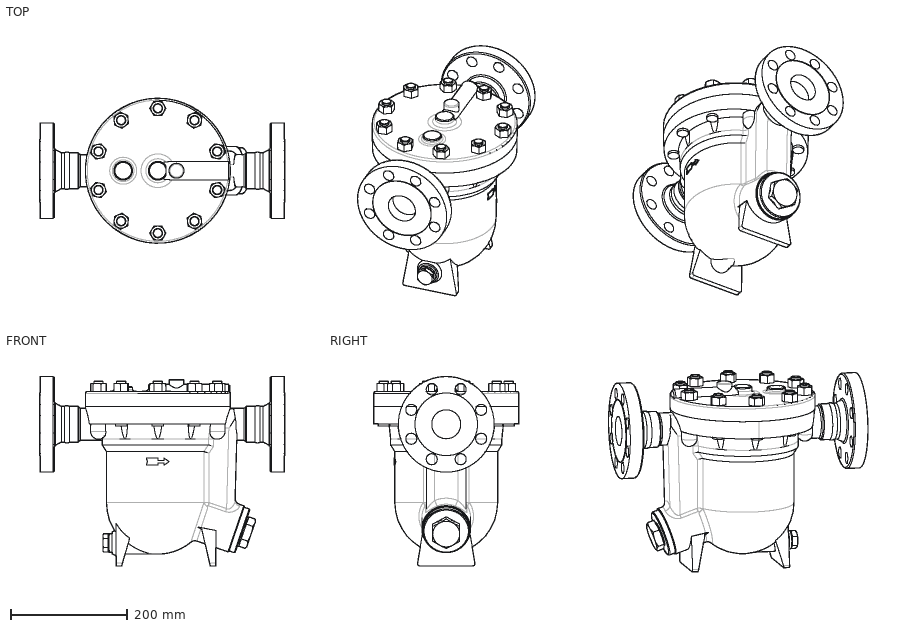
import cadquery as cq
import math


length = 423.0
inlet_face_x = -204.0
outlet_face_x = inlet_face_x + length
base_z = -244.0

flange_dia = 165.0
flange_thickness = 24.5
flange_edge_chamfer = 2.0
raised_face_dia = 108.0
raised_face_height = 1.3
flange_hole_dia = 19.0
flange_hole_circle = 130.3
flange_hole_count = 8
bore_dia = 50.0
bore_depth = 22.0
hub_root_dia = 78.0
hub_dia = 72.8
hub_root_length = 2.0
hub_length = 12.0
stub_dia = 62.0
stub_end_chamfer = 1.5
weld_bead_height = 1.3
weld_bead_start = 43.0
weld_bead_end = 51.5
joint_depth = 68.0

spout_dia = 56.0
spout_lip_dia = 58.5
spout_lip_length = 3.0
seam_z = 31.0
rim_dia = 250.0
rim_bottom_z = 1.0
rim_bottom_length = 242.0
collar_top_dia = 198.0
collar_dia = 192.0
collar_taper_end_z = -25.0
collar_end_z = -35.5
shell_top_z = -47.0
shell_dia = 177.5
dome_center_z = -135.0

cover_top_z = 56.5
cover_edge_radius = 3.5
bolt_circle_dia = 215.0
bolt_count = 10
bolt_pitch = 360.0 / bolt_count
first_bolt_angle = 18.0
nut_flats = 24.0
nut_top_z = 70.5
stud_dia = 16.0
stud_top_z = 74.5
stud_chamfer = 1.0
stud_foot_dia = 19.5
stud_foot_height = 4.2
spotface_dia = 23.0
ear_dia = 27.0
ear_center_z = -12.3

boss_dia = 32.0
boss_pad_height = 1.0
boss_edge_radius = 1.5
side_boss_x = -59.5
side_boss_top_z = 64.7
side_boss_base_dia = 37.2
side_boss_pad_dia = 46.5
center_boss_top_z = 69.0
center_boss_base_dia = 41.5
center_boss_pad_dia = 58.0
cap_dia = 26.0
cap_x = 32.0
cap_top_z = 77.0
rib_dia = 32.0
rib_axis_z = 53.0
rib_start_x = 10.5
rib_end_x = 124.0
rib_end_chamfer = 2.5

barrel_tilt = 19.0
barrel_origin_z = -133.5
barrel_dia = 84.0
barrel_end = 143.5
barrel_end_chamfer = 1.3
plug_disc_dia = 80.0
plug_disc_thickness = 11.0
plug_edge_chamfer = 1.5
plug_neck_dia = 43.0
plug_neck_height = 2.0
plug_hex_flats = 46.5
plug_hex_height = 13.5

channel_width = 68.5
channel_start_x = 63.5
channel_bend_z = -6.8
channel_top_z = channel_bend_z + channel_width / 2
channel_top_x = 130.3
channel_bend_x = 136.5
channel_bottom_x = 132.5
channel_bottom_z = -160.7
channel_root_radius = 9.5
barrel_root_radius = 10.5
channel_corner_radius = 14.5

foot_base_width = 100.5
foot_top_width = 67.0
foot_top_z = -143.5
foot_corner_radius = 4.2
foot_sole_thickness = 9.7
rear_foot_x = -72.0
rear_foot_inner_x = -48.5
rear_foot_inner_z = -196.5
rear_foot_top_z = -169.0
front_foot_x = 100.0
front_foot_inner_x = 75.7
front_foot_inner_z = -181.0
front_foot_tip_x = 68.5
front_foot_tip_z = -177.0
front_foot_top_z = -182.7

drain_z = -204.5
drain_boss_dia = 38.0
drain_boss_x = -78.5
drain_boss_edge_radius = 1.5
drain_boss_root_dia = 45.0
drain_washer_dia = 32.0
drain_washer_x = -83.8
drain_neck_dia = 26.0
drain_hex_x = -85.5
drain_hex_end_x = -94.8
drain_hex_flats = 27.5

arrow_tip_x = 19.5
arrow_tail_x = -20.0
arrow_head_x = 11.0
arrow_shaft_x = 0.0
arrow_z = -64.5
arrow_half_tail = 6.0
arrow_half_shaft = 2.0
arrow_height = 1.3


def upright_cylinder(diameter, bottom_z, top_z, x=0.0):
    return cq.Workplane("XY", origin=(x, 0, bottom_z)).circle(diameter / 2).extrude(top_z - bottom_z)


def chamfered_hexagon(flats, height):
    """Hexagon along +Z, corners on +-Y, with its top corners bevelled at 30 degrees."""
    corners = flats / math.cos(math.pi / 6)
    bevel_drop = (corners - flats) / 2 * math.tan(math.pi / 6)
    prism = cq.Workplane("XY").polygon(6, corners).extrude(height).rotate((0, 0, 0), (0, 0, 1), 30)
    envelope = (
        cq.Workplane("XZ")
        .polyline([(0, 0), (corners / 2, 0), (corners / 2, height - bevel_drop), (flats / 2, height), (0, height)])
        .close()
        .revolve(360, (0, 0, 0), (0, 1, 0))
    )
    return prism.intersect(envelope)


def at_bolt(body, index):
    """Move a body from the vessel axis onto one place of the bolt circle."""
    angle = first_bolt_angle + index * bolt_pitch
    return body.translate((bolt_circle_dia / 2, 0, 0)).rotate((0, 0, 0), (0, 0, 1), angle)


def along_barrel(body):
    """Turn a body built along +Z onto the tilted barrel axis."""
    return body.rotate((0, 0, 0), (0, 1, 0), 90 + barrel_tilt).translate((0, 0, barrel_origin_z))


def make_flange():
    """Weld-neck flange with its sealing face at x = 0 and its stub along +X."""
    disc_end = raised_face_height + flange_thickness
    hub_end = disc_end + hub_length
    stub_radius = stub_dia / 2
    bead_middle = (weld_bead_start + weld_bead_end) / 2
    turned = (
        cq.Workplane("XY")
        .moveTo(bore_depth, 0)
        .lineTo(bore_depth, bore_dia / 2)
        .lineTo(0, bore_dia / 2)
        .lineTo(0, raised_face_dia / 2)
        .lineTo(raised_face_height, raised_face_dia / 2)
        .lineTo(raised_face_height, flange_dia / 2)
        .lineTo(disc_end - flange_edge_chamfer, flange_dia / 2)
        .lineTo(disc_end, flange_dia / 2 - flange_edge_chamfer)
        .lineTo(disc_end, hub_root_dia / 2)
        .lineTo(disc_end + hub_root_length, hub_dia / 2)
        .lineTo(hub_end, stub_radius)
        .lineTo(weld_bead_start, stub_radius)
        .threePointArc((bead_middle, stub_radius + weld_bead_height), (weld_bead_end, stub_radius))
        .lineTo(joint_depth - stub_end_chamfer, stub_radius)
        .lineTo(joint_depth, stub_radius - stub_end_chamfer)
        .lineTo(joint_depth, 0)
        .close()
        .revolve(360, (0, 0, 0), (1, 0, 0))
    )
    holes = (
        cq.Workplane("YZ")
        .polarArray(flange_hole_circle / 2, 180 / flange_hole_count, 360, flange_hole_count)
        .circle(flange_hole_dia / 2)
        .extrude(disc_end)
    )
    return turned.cut(holes)


def make_cover_boss(x, top_z, base_dia, pad_dia):
    """Round boss with a concave root on a low conical pad."""
    boss_radius = boss_dia / 2
    root_radius = base_dia / 2 - boss_radius
    root_z = cover_top_z + boss_pad_height
    arc_offset = root_radius * (1 - math.sqrt(0.5))
    return (
        cq.Workplane("XZ")
        .moveTo(0, seam_z)
        .lineTo(pad_dia / 2, seam_z)
        .lineTo(pad_dia / 2, cover_top_z)
        .lineTo(base_dia / 2, root_z)
        .threePointArc((boss_radius + arc_offset, root_z + arc_offset), (boss_radius, root_z + root_radius))
        .lineTo(boss_radius, top_z - boss_edge_radius)
        .lineTo(boss_radius - boss_edge_radius, top_z)
        .lineTo(0, top_z)
        .close()
        .revolve(360, (0, 0, 0), (0, 1, 0))
        .translate((x, 0, 0))
    )


def make_cover_rib():
    """Round-backed rib from the centre boss to the edge of the cover."""
    rib = (
        cq.Workplane("YZ", origin=(rib_start_x, 0, rib_axis_z))
        .circle(rib_dia / 2)
        .extrude(rib_end_x - rib_start_x)
    )
    rib = rib.faces(">X").chamfer(rib_end_chamfer)
    return rib.intersect(upright_cylinder(rim_dia, seam_z, cap_top_z))


def make_nut_and_stud():
    nut = chamfered_hexagon(nut_flats, nut_top_z - cover_top_z).translate((0, 0, cover_top_z))
    stud = upright_cylinder(stud_dia, cover_top_z, stud_top_z).faces(">Z").chamfer(stud_chamfer)
    return nut.union(stud)


def make_cover():
    cover = upright_cylinder(rim_dia, seam_z, cover_top_z).faces(">Z").edges().fillet(cover_edge_radius)
    cover = cover.union(make_cover_boss(side_boss_x, side_boss_top_z, side_boss_base_dia, side_boss_pad_dia))
    cover = cover.union(make_cover_boss(0, center_boss_top_z, center_boss_base_dia, center_boss_pad_dia))
    cover = cover.union(make_cover_rib())
    cap = upright_cylinder(cap_dia, cover_top_z, cap_top_z, cap_x).faces(">Z").edges().fillet(boss_edge_radius)
    cover = cover.union(cap)
    for index in range(bolt_count):
        cover = cover.union(at_bolt(make_nut_and_stud(), index))
    return cover


def make_strainer_plug():
    disc_end = barrel_end + plug_disc_thickness
    hex_start = disc_end + plug_neck_height
    disc = upright_cylinder(plug_disc_dia, barrel_end, disc_end).faces(">Z").chamfer(plug_edge_chamfer)
    neck = upright_cylinder(plug_neck_dia, disc_end, hex_start)
    head = chamfered_hexagon(plug_hex_flats, plug_hex_height)
    head = head.rotate((0, 0, 0), (0, 0, 1), 90).translate((0, 0, hex_start))
    return along_barrel(disc.union(neck).union(head))


def make_vessel():
    """Collar, cylindrical shell and domed bottom, turned about the Z axis."""
    shell_radius = shell_dia / 2
    dome_diagonal = shell_radius * math.sqrt(0.5)
    return (
        cq.Workplane("XZ")
        .moveTo(0, rim_bottom_z)
        .lineTo(collar_top_dia / 2, rim_bottom_z)
        .lineTo(collar_dia / 2, collar_taper_end_z)
        .lineTo(collar_dia / 2, collar_end_z)
        .lineTo(shell_radius, shell_top_z)
        .lineTo(shell_radius, dome_center_z)
        .threePointArc((dome_diagonal, dome_center_z - dome_diagonal), (0, dome_center_z - shell_radius))
        .close()
        .revolve(360, (0, 0, 0), (0, 1, 0))
    )


def make_rim():
    """Housing flange, round at the seam and slightly narrower along X below."""
    return (
        cq.Workplane("XY", origin=(0, 0, rim_bottom_z))
        .ellipse(rim_bottom_length / 2, rim_dia / 2)
        .workplane(offset=seam_z - rim_bottom_z)
        .circle(rim_dia / 2)
        .loft()
    )


def make_channel():
    """Arched channel that rises from the strainer barrel to the outlet spout."""
    half_width = channel_width / 2
    arch = (
        cq.Workplane("YZ", origin=(channel_start_x, 0, 0))
        .moveTo(-half_width, channel_bottom_z)
        .lineTo(half_width, channel_bottom_z)
        .lineTo(half_width, channel_bend_z)
        .threePointArc((0, channel_top_z), (-half_width, channel_bend_z))
        .close()
        .extrude(channel_bend_x - channel_start_x)
    )
    side = (
        cq.Workplane("XZ", origin=(0, half_width, 0))
        .moveTo(channel_start_x, channel_bottom_z)
        .lineTo(channel_bottom_x, channel_bottom_z)
        .lineTo(channel_bend_x, channel_bend_z)
        .lineTo(channel_top_x, channel_top_z)
        .lineTo(channel_start_x, channel_top_z)
        .close()
        .extrude(channel_width)
    )
    tilt = math.degrees(math.atan2(channel_bend_x - channel_bottom_x, channel_bend_z - channel_bottom_z))
    rounded_back = (
        cq.Workplane("XY", origin=(channel_bend_x / 2, 0, channel_bend_z))
        .box(channel_bend_x, channel_width, -3 * channel_bottom_z)
        .edges("|Z and >X")
        .fillet(channel_corner_radius)
        .rotate((channel_bend_x, 0, channel_bend_z), (channel_bend_x, 1, channel_bend_z), tilt)
    )
    return arch.intersect(side).intersect(rounded_back)


def make_vessel_with_barrel():
    """Vessel blended into the riser channel and the strainer barrel."""
    half_width = channel_width / 2
    corner_reach = channel_root_radius / 10
    joined = make_vessel().union(make_channel())
    for side_y in (-half_width, half_width):
        corner = cq.selectors.BoxSelector(
            (channel_start_x, side_y - corner_reach, channel_bottom_z),
            (collar_top_dia / 2 - 4.2, side_y + corner_reach, 0),
        )
        joined = joined.edges(corner).fillet(channel_root_radius)
    barrel = upright_cylinder(barrel_dia, 0, barrel_end).faces(">Z").chamfer(barrel_end_chamfer)
    dome_root = cq.selectors.BoxSelector(
        (shell_dia / 4, -barrel_dia, dome_center_z - shell_dia / 2),
        (shell_dia / 2, barrel_dia, dome_center_z - channel_root_radius),
    )
    return joined.union(along_barrel(barrel)).edges(dome_root).fillet(barrel_root_radius)


def make_foot(side_outline):
    """Foot with a trapezoid face across Y, trimmed to its outline in XZ."""
    face = (
        cq.Workplane("YZ", origin=(rear_foot_x, 0, 0))
        .polyline([
            (-foot_base_width / 2, base_z),
            (foot_base_width / 2, base_z),
            (foot_top_width / 2, foot_top_z),
            (-foot_top_width / 2, foot_top_z),
        ])
        .close()
        .extrude(front_foot_x - rear_foot_x)
        .edges("|X and <Z")
        .fillet(foot_corner_radius)
    )
    side = (
        cq.Workplane("XZ", origin=(0, foot_base_width / 2, 0))
        .polyline(side_outline)
        .close()
        .extrude(foot_base_width)
    )
    return face.intersect(side)


def make_rear_foot():
    return make_foot([
        (rear_foot_x, base_z),
        (rear_foot_x + foot_sole_thickness, base_z),
        (rear_foot_inner_x, rear_foot_inner_z),
        (rear_foot_inner_x, rear_foot_top_z),
        (rear_foot_x, rear_foot_top_z),
    ])


def make_front_foot():
    return make_foot([
        (front_foot_x, base_z),
        (front_foot_x - foot_sole_thickness, base_z),
        (front_foot_inner_x, front_foot_inner_z),
        (front_foot_tip_x, front_foot_tip_z),
        (front_foot_x, front_foot_top_z),
    ])


def make_drain():
    """Horizontal drain boss closed by a hexagon plug on the -X side."""
    def drain_disc(diameter, start_x, end_x):
        plane = cq.Workplane("YZ", origin=(start_x, 0, drain_z))
        return plane.circle(diameter / 2).extrude(end_x - start_x)

    boss = drain_disc(drain_boss_dia, drain_boss_x, 0).faces("<X").edges().fillet(drain_boss_edge_radius)
    root = (
        drain_disc(drain_boss_root_dia, drain_boss_x, rear_foot_x + drain_boss_edge_radius)
        .faces("<X")
        .chamfer(rear_foot_x - drain_boss_x, (drain_boss_root_dia - drain_boss_dia) / 2)
    )
    washer = drain_disc(drain_washer_dia, drain_washer_x, drain_boss_x)
    neck = drain_disc(drain_neck_dia, drain_hex_x, drain_washer_x)
    head = (
        chamfered_hexagon(drain_hex_flats, drain_hex_x - drain_hex_end_x)
        .rotate((0, 0, 0), (0, 0, 1), 90)
        .rotate((0, 0, 0), (0, 1, 0), -90)
        .translate((drain_hex_x, 0, drain_z))
    )
    return boss.union(root).union(washer).union(neck).union(head)


def make_ear():
    """Round-bottomed lug under the rim."""
    ball = cq.Workplane("XY", origin=(0, 0, ear_center_z)).sphere(ear_dia / 2)
    return upright_cylinder(ear_dia, ear_center_z, rim_bottom_z).union(ball)


def make_spouts():
    """Inlet and outlet spouts in one line, each with a flared lip at its flange."""
    start_x = inlet_face_x + joint_depth
    end_x = outlet_face_x - joint_depth
    return (
        cq.Workplane("XY")
        .polyline([
            (start_x, 0),
            (start_x, spout_lip_dia / 2),
            (start_x + spout_lip_length, spout_dia / 2),
            (end_x - spout_lip_length, spout_dia / 2),
            (end_x, spout_lip_dia / 2),
            (end_x, 0),
        ])
        .close()
        .revolve(360, (0, 0, 0), (1, 0, 0))
    )


def make_arrow():
    """Raised arrow that points from inlet to outlet."""
    plate = (
        cq.Workplane("XZ")
        .polyline([
            (arrow_tip_x, arrow_z),
            (arrow_head_x, arrow_z + arrow_half_tail),
            (arrow_head_x, arrow_z + arrow_half_shaft),
            (arrow_shaft_x, arrow_z + arrow_half_shaft),
            (arrow_shaft_x, arrow_z + arrow_half_tail),
            (arrow_tail_x, arrow_z + arrow_half_tail),
            (arrow_tail_x + arrow_half_shaft, arrow_z),
            (arrow_tail_x, arrow_z - arrow_half_tail),
            (arrow_shaft_x, arrow_z - arrow_half_tail),
            (arrow_shaft_x, arrow_z - arrow_half_shaft),
            (arrow_head_x, arrow_z - arrow_half_shaft),
            (arrow_head_x, arrow_z - arrow_half_tail),
        ])
        .close()
        .extrude(shell_dia)
    )
    return plate.intersect(upright_cylinder(shell_dia + 2 * arrow_height, dome_center_z, shell_top_z))


def make_housing():
    housing = make_vessel_with_barrel()
    rim = make_rim()
    ears = (0, 4, 5, 9)
    for index in range(bolt_count):
        if index not in ears:
            housing = housing.cut(at_bolt(upright_cylinder(spotface_dia, collar_end_z, rim_bottom_z), index))
            rim = rim.union(at_bolt(upright_cylinder(stud_foot_dia, rim_bottom_z - stud_foot_height, seam_z), index))
    housing = housing.union(rim)
    for index in ears:
        housing = housing.union(at_bolt(make_ear(), index))
    for feature in (
        make_spouts(),
        make_rear_foot(),
        make_front_foot(),
        make_drain(),
        make_arrow(),
    ):
        housing = housing.union(feature)
    return housing


housing = make_housing()
cover = make_cover()
strainer_plug = make_strainer_plug()
flanges = [
    make_flange().translate((inlet_face_x, 0, 0)),
    make_flange().mirror("YZ").translate((outlet_face_x, 0, 0)),
]

result = cq.Compound.makeCompound([
    housing.val(),
    cover.val(),
    strainer_plug.val(),
    *[flange.val() for flange in flanges],
])